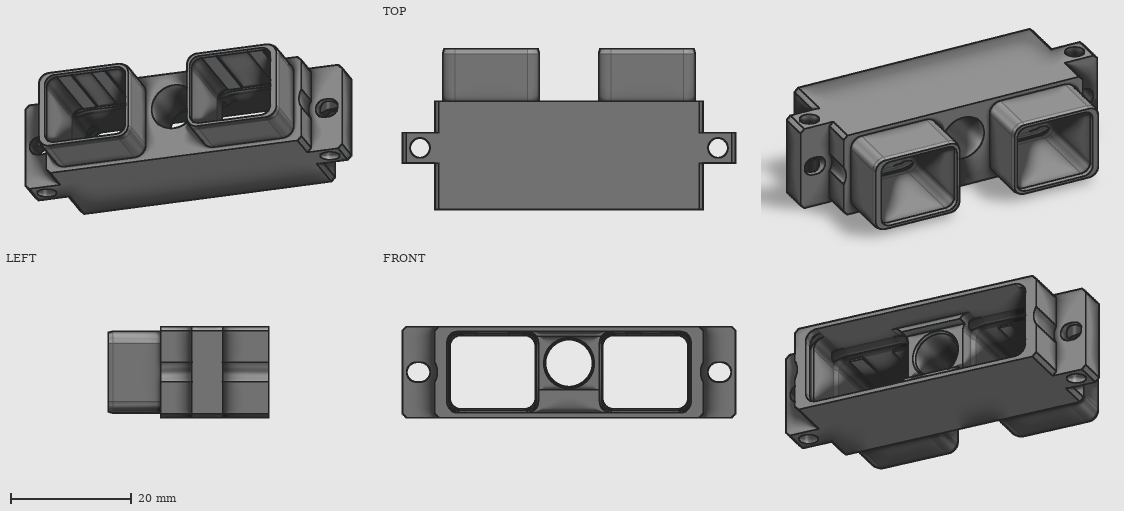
import cadquery as cq
import math

TAPER_ANGLE = 15.0
EPS = 0.01

BODY_WIDTH = 44.6
BODY_DEPTH = 18.0
BODY_HEIGHT = 15.16
EDGE_CHAMFER = 0.7

EARS_WIDTH = 55.4
EAR_FRONT = 7.7
EAR_THICKNESS = 5.1
EAR_HOLE_DIAMETER = 3.25
EAR_HOLE_X = 24.75
EAR_SLOT_X = 25.0
EAR_SLOT_LENGTH = 3.85
SCREW_CLEARANCE_RADIUS = 3.15

TOTAL_DEPTH = 26.73
TOWER_WIDTH = 16.05
TOWER_HEIGHT = 13.6
TOWER_X = 12.95
TOWER_CORNER = 2.0
TOWER_RIM = 0.8
TOWER_EMBED = 1.0

POCKET_WIDTH = 40.6
POCKET_HEIGHT = 13.56
POCKET_CORNER = 2.0
PARTITION_FRONT = 5.7
PARTITION_WIDTH = 10.12
GROOVE_START = 1.65
GROOVE_END = 3.08
GROOVE_WIDTH = 42.5
GROOVE_CORNER = 3.0

BAY_WIDTH = (POCKET_WIDTH - PARTITION_WIDTH) / 2
BAY_X = (POCKET_WIDTH + PARTITION_WIDTH) / 4
STEP = 0.35
RAMP_LENGTH = STEP / math.tan(math.radians(TAPER_ANGLE))
RIB_START = 8.17
RIB_LAND = 0.82
RIB_CORNER = 6.35
RIB_WIDTH = 22.1
RIB_END = RIB_START + RAMP_LENGTH + RIB_LAND
TUNNEL_START = 10.44
LIP_THICKNESS = 1.0
OPENING_WIDTH = 14.12
OPENING_HEIGHT = 12.16
OPENING_CORNER = 1.7

KEY_SPANS = {-1: [(-5.26, -2.77), (2.77, 5.26)], 1: [(-3.09, -0.75), (2.77, 5.26)]}

HOLE_Z = 1.5
HOLE_RADIUS = 3.9
HOLE_CHAMFER = 0.3
HOLE_CHAMFER_DEPTH = 0.45
RECESS_HEIGHT = 8.86
RECESS_FLOOR = 7.6


def box(x_size, z_size, y_start, y_end, x=0.0, z=0.0):
    """Block centred on (x, z) between two depths."""
    return (
        cq.Workplane("XY")
        .box(x_size, y_end - y_start, z_size, centered=(True, False, True))
        .translate((x, y_start, z))
    )


def rounded_block(x_size, z_size, corner, y_start, y_end, x=0.0):
    """Block between two depths whose four edges along Y are rounded."""
    return box(x_size, z_size, y_start, y_end, x).edges("|Y").fillet(corner)


def tapered_block(x_size, z_size, corner, y_start, y_end, x):
    """Rounded block that narrows towards +Y at the taper angle."""
    profile = cq.Sketch().rect(x_size, z_size).vertices().fillet(corner)
    return (
        cq.Workplane("XZ", origin=(x, y_start, 0))
        .placeSketch(profile)
        .extrude(-(y_end - y_start), taper=TAPER_ANGLE)
    )


def cylinder(radius, y_start, y_end, x, z):
    """Cylinder along Y."""
    return cq.Workplane("XZ", origin=(x, y_start, z)).circle(radius).extrude(-(y_end - y_start))


def make_body():
    body = box(BODY_WIDTH, BODY_HEIGHT, 0, BODY_DEPTH).edges("|Y").chamfer(EDGE_CHAMFER)
    for side in (-1, 1):
        body = body.cut(cylinder(SCREW_CLEARANCE_RADIUS, 0, BODY_DEPTH, side * EAR_SLOT_X, 0))
    ears = box(EARS_WIDTH, BODY_HEIGHT, EAR_FRONT, EAR_FRONT + EAR_THICKNESS)
    return body.union(ears.edges("|Y").chamfer(EDGE_CHAMFER))


def make_ear_holes(side):
    """Upright hole and crossing front-to-back slot of one ear."""
    upright = (
        cq.Workplane("XY", origin=(side * EAR_HOLE_X, EAR_FRONT + EAR_THICKNESS / 2, -BODY_HEIGHT / 2))
        .circle(EAR_HOLE_DIAMETER / 2)
        .extrude(BODY_HEIGHT)
    )
    slot = (
        cq.Workplane("XZ", origin=(side * EAR_SLOT_X, EAR_FRONT, 0))
        .slot2D(EAR_SLOT_LENGTH, EAR_HOLE_DIAMETER)
        .extrude(-EAR_THICKNESS)
    )
    return upright.union(slot)


def make_tower(side):
    """Rounded tower with a tapered rim; it starts inside the body so the two join."""
    x = side * TOWER_X
    rim_start = TOTAL_DEPTH - TOWER_RIM
    root = BODY_DEPTH - TOWER_EMBED
    tower = rounded_block(TOWER_WIDTH, TOWER_HEIGHT, TOWER_CORNER, root, rim_start, x)
    rim = tapered_block(TOWER_WIDTH, TOWER_HEIGHT, TOWER_CORNER, rim_start, TOTAL_DEPTH, x)
    return tower.union(rim)


def make_front_pocket():
    pocket = rounded_block(POCKET_WIDTH, POCKET_HEIGHT, POCKET_CORNER, 0, PARTITION_FRONT)
    groove = rounded_block(GROOVE_WIDTH, POCKET_HEIGHT, GROOVE_CORNER, GROOVE_START, GROOVE_END)
    return pocket.union(groove)


def make_retaining_rib(x):
    """Ring of material with a ramped front that narrows the bay above and below."""
    land_start = RIB_START + RAMP_LENGTH
    ramp = tapered_block(RIB_WIDTH, POCKET_HEIGHT, RIB_CORNER, RIB_START, land_start, x)
    land = rounded_block(
        RIB_WIDTH - 2 * STEP, POCKET_HEIGHT - 2 * STEP, RIB_CORNER - STEP, land_start, RIB_END, x
    )
    ring = box(BAY_WIDTH, POCKET_HEIGHT, RIB_START, RIB_END, x)
    return ring.cut(ramp).cut(land)


def make_bay(side):
    """Space inside one connector bay, from the partition front to the back opening."""
    x = side * BAY_X
    tunnel_width = BAY_WIDTH - 2 * STEP
    tunnel_height = POCKET_HEIGHT - 2 * STEP
    ramp_end = TUNNEL_START + RAMP_LENGTH
    tunnel_end = TOTAL_DEPTH - LIP_THICKNESS

    bay = rounded_block(
        BAY_WIDTH, POCKET_HEIGHT, POCKET_CORNER, PARTITION_FRONT - EPS, TUNNEL_START, x
    ).cut(make_retaining_rib(x))
    ramp = tapered_block(BAY_WIDTH, POCKET_HEIGHT, POCKET_CORNER, TUNNEL_START, ramp_end, x)
    tunnel = rounded_block(
        tunnel_width, tunnel_height, POCKET_CORNER - STEP, ramp_end, tunnel_end, x
    )
    key_height = (tunnel_height - OPENING_HEIGHT) / 2
    for first, last in KEY_SPANS[side]:
        key_x = x + (first + last) / 2
        key_z = (tunnel_height - key_height) / 2
        tunnel = tunnel.cut(box(last - first, key_height, ramp_end, tunnel_end - EPS, key_x, key_z))
    opening = rounded_block(
        OPENING_WIDTH, OPENING_HEIGHT, OPENING_CORNER, tunnel_end, TOTAL_DEPTH, x
    )
    return bay.union(ramp).union(tunnel).union(opening)


def make_centre_hole():
    """Hole through the partition, opening with a chamfer into a recess across its front."""
    recess_width = PARTITION_WIDTH + 2 * POCKET_CORNER
    recess = box(recess_width, RECESS_HEIGHT, PARTITION_FRONT - EPS, RECESS_FLOOR, 0, HOLE_Z)
    hole = cylinder(HOLE_RADIUS, RECESS_FLOOR - EPS, BODY_DEPTH, 0, HOLE_Z)
    chamfer = cq.Workplane(
        cq.Solid.makeCone(
            HOLE_RADIUS + HOLE_CHAMFER,
            HOLE_RADIUS,
            HOLE_CHAMFER_DEPTH,
            cq.Vector(0, RECESS_FLOOR, HOLE_Z),
            cq.Vector(0, 1, 0),
        )
    )
    return recess.union(hole).union(chamfer)


result = make_body()
for side in (-1, 1):
    result = result.union(make_tower(side)).cut(make_ear_holes(side))
result = result.cut(make_front_pocket())
for side in (-1, 1):
    result = result.cut(make_bay(side))
result = result.cut(make_centre_hole())